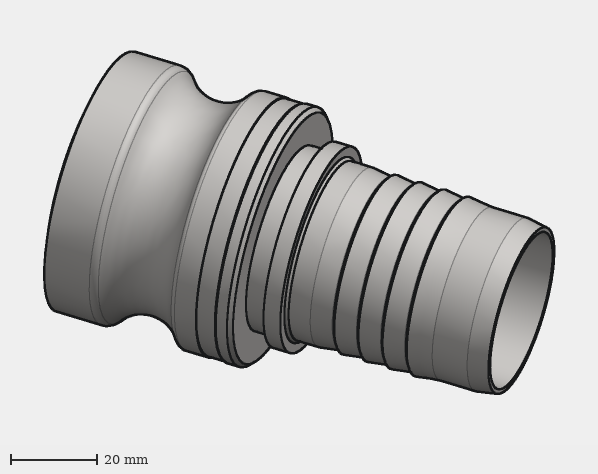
import cadquery as cq
import math

length = 108.0
bore_radius = 38.0 / 2
mouth_radius = 47.0 / 2
mouth_depth = 17.3

head_radius = 63.0 / 2
face_radius = 54.0 / 2
face_bevel_length = 1.4
relief_radius = 62.5 / 2
relief_start = 39.4
relief_end = 44.1
relief_step_length = 0.3
head_end = 48.3
head_end_bevel = 1.1

groove_center = 23.7
groove_floor_radius = 26.0
groove_arc_radius = 11.3
front_lip_radius = 2.4
rear_lip_radius = 1.3

neck_radius = 45.0 / 2
flange_radius = 50.0 / 2
flange_start = 53.7
flange_end = 57.9
flange_foot_length = 0.8

barb_radius = 43.5 / 2
tail_radius = 42.0 / 2
tip_radius = 40.3 / 2
barb_start = 64.0
barb_pitch = 6.0
barb_count = 5
barb_taper_length = 5.2
barb_valley_length = 0.3
tip_taper_length = 5.0


def groove_lip(lip_radius, side):
    """Points (start on rim, middle, end on groove arc) of a lip; side is -1 front, +1 rear."""
    arc_center_height = groove_floor_radius + groove_arc_radius
    lip_center_height = head_radius - lip_radius
    center_distance = groove_arc_radius + lip_radius
    rise = arc_center_height - lip_center_height
    offset = math.sqrt(center_distance**2 - rise**2)
    lip_center = groove_center + side * offset
    turn = math.acos(rise / center_distance)

    def lip_point(angle):
        x = lip_center - side * lip_radius * math.sin(angle)
        return (x, lip_center_height + lip_radius * math.cos(angle))

    return lip_point(0), lip_point(turn / 2), lip_point(turn)


def add_head(profile):
    """Head outline from the front face to the foot of its rear face."""
    front_rim, front_middle, front_tangent = groove_lip(front_lip_radius, -1)
    rear_rim, rear_middle, rear_tangent = groove_lip(rear_lip_radius, 1)
    return (
        profile.lineTo(0, face_radius)
        .lineTo(face_bevel_length, head_radius)
        .lineTo(*front_rim)
        .threePointArc(front_middle, front_tangent)
        .threePointArc((groove_center, groove_floor_radius), rear_tangent)
        .threePointArc(rear_middle, rear_rim)
        .lineTo(relief_start, head_radius)
        .lineTo(relief_start, relief_radius)
        .lineTo(relief_end, relief_radius)
        .lineTo(relief_end + relief_step_length, head_radius)
        .lineTo(head_end - head_end_bevel, head_radius)
        .lineTo(head_end, head_radius - head_end_bevel)
        .lineTo(head_end, neck_radius)
    )


def add_flange(profile):
    """Neck, hose stop flange and the small cone at the flange's rear foot."""
    return (
        profile.lineTo(flange_start, neck_radius)
        .lineTo(flange_start, flange_radius)
        .lineTo(flange_end, flange_radius)
        .lineTo(flange_end, neck_radius)
        .lineTo(flange_end + flange_foot_length, barb_radius)
    )


def add_hose_tail(profile):
    """Barbs tapering toward the tip, a plain land and a tapered tip."""
    for index in range(barb_count):
        crest = barb_start + index * barb_pitch
        is_last = index == barb_count - 1
        taper_length = barb_pitch if is_last else barb_taper_length
        taper_end = crest + taper_length
        profile = profile.lineTo(crest, barb_radius).lineTo(taper_end, tail_radius)
        if not is_last:
            profile = profile.lineTo(taper_end + barb_valley_length, tail_radius)
    return profile.lineTo(length - tip_taper_length, tail_radius).lineTo(length, tip_radius)


section = cq.Workplane("XZ").moveTo(0, mouth_radius)
section = add_head(section)
section = add_flange(section)
section = add_hose_tail(section)
section = section.lineTo(length, bore_radius).lineTo(mouth_depth, bore_radius).close()

result = section.revolve(360, (0, 0, 0), (1, 0, 0))